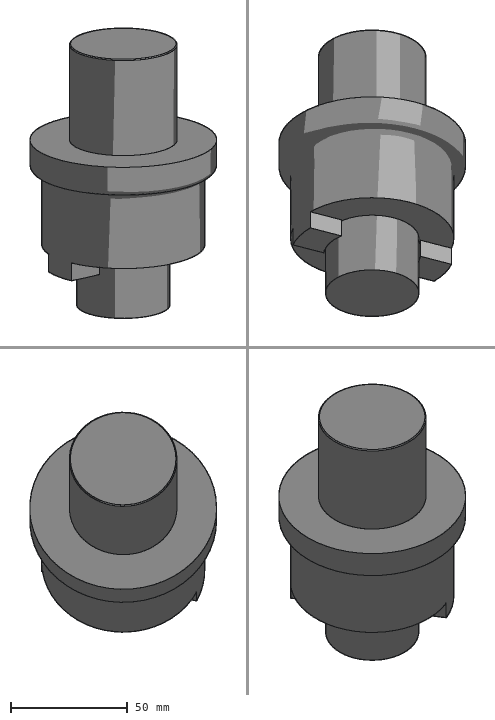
import cadquery as cq

total_length = 117.0

shank_radius = 23.0
shank_length = 43.0
shank_chamfer = 0.5

flange_radius = 40.0
flange_rim_height = 11.0

collar_radius = 35.0
collar_bottom = 27.0
edge_radius = 2.0
root_radius = 2.8

spigot_radius = 20.0

key_width = 16.4
key_height = 8.0
key_inner_radius = 20.7

flange_top = total_length - shank_length
rim_bottom = flange_top - flange_rim_height
flange_underside = rim_bottom - edge_radius


def make_turned_body():
    """Revolve the half profile of spigot, collar, flange and shank."""
    profile = (
        cq.Workplane("XZ")
        .lineTo(spigot_radius, 0)
        .lineTo(spigot_radius, collar_bottom)
        .lineTo(collar_radius, collar_bottom)
        .lineTo(collar_radius, flange_underside - root_radius)
        .radiusArc((collar_radius + root_radius, flange_underside), root_radius)
        .lineTo(flange_radius - edge_radius, flange_underside)
        .radiusArc((flange_radius, rim_bottom), -edge_radius)
        .lineTo(flange_radius, flange_top)
        .lineTo(shank_radius, flange_top)
        .lineTo(shank_radius, total_length - shank_chamfer)
        .lineTo(shank_radius - shank_chamfer, total_length)
        .lineTo(0, total_length)
        .close()
    )
    return profile.revolve(360, (0, 0, 0), (0, 1, 0))


def make_keys():
    """Cut a ring down to a bar across Y, leaving one key on each side of the spigot."""
    ring = (
        cq.Workplane("XY", origin=(0, 0, collar_bottom - key_height))
        .circle(collar_radius)
        .circle(key_inner_radius)
        .extrude(key_height)
    )
    bar = cq.Workplane("XY").box(key_width, 2 * collar_radius, total_length)
    return ring.intersect(bar)


result = make_turned_body().union(make_keys())